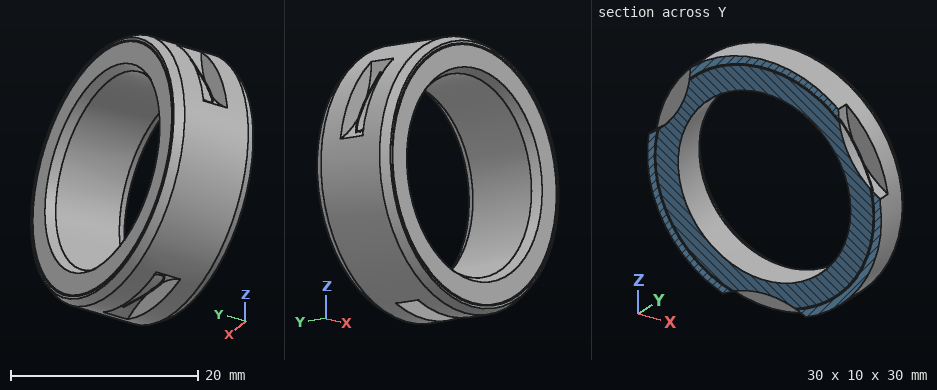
import cadquery as cq
import math

outer_radius = 15.0
bore_radius = 11.0
half_width = 5.0

bevel_width = 1.0
bevel_angle = math.radians(30)
bevel_depth = bevel_width * math.tan(bevel_angle)
bevel_start = half_width - bevel_width

flank_angle = math.radians(45)
rim_radius = 14.0
crest_radius = 13.94
crest_half_width = 0.25
trough_radius = 12.0
clearance = 0.1

slot_angles = (30, 150, 270)
slot_width = 3.0
slot_floor_radius = 11.0
slot_bottom = 12.65


def interface_points(offset):
    """(radius, y) points from front to back, moved squarely outward by the offset."""
    flank_shift = offset * math.tan(flank_angle / 2)
    crest_edge = crest_half_width + flank_shift
    crest_depth = crest_radius - trough_radius
    ridge_foot = crest_edge + crest_depth / math.tan(flank_angle)
    rim_foot = half_width - (rim_radius - trough_radius) / math.tan(flank_angle) - flank_shift
    rim_offset = offset / math.cos(flank_angle)
    front_half = [
        (rim_radius + rim_offset, -half_width),
        (trough_radius + offset, -rim_foot),
        (trough_radius + offset, -ridge_foot),
        (crest_radius + offset, -crest_edge),
    ]
    back_half = [(radius, -y) for radius, y in reversed(front_half)]
    return front_half + back_half


def revolve_ring(points):
    """Solid of revolution about the Y axis from a closed (radius, y) outline."""
    return cq.Workplane("XY").polyline(points).close().revolve(360, (0, 0, 0), (0, 1, 0))


def make_slot_cutters():
    """Cylinders along Y, placed outside the ring so that each scoops one slot."""
    center_distance = slot_bottom + slot_floor_radius
    cutter = (
        cq.Workplane("XZ", origin=(0, slot_width / 2, 0))
        .center(center_distance, 0)
        .circle(slot_floor_radius)
        .extrude(slot_width)
    )
    return [cutter.rotate((0, 0, 0), (0, 1, 0), -angle) for angle in slot_angles]


def cut_slots(body):
    """Scoop the slots out of one ring; they reach through the housing into the inner ring."""
    for cutter in make_slot_cutters():
        body = body.cut(cutter)
    return body


def make_housing():
    face_radius = outer_radius - bevel_depth
    outside = [
        (face_radius, half_width),
        (outer_radius, bevel_start),
        (outer_radius, -bevel_start),
        (face_radius, -half_width),
    ]
    return cut_slots(revolve_ring(interface_points(clearance) + outside))


def make_inner_ring():
    face_radius = bore_radius + bevel_depth
    bore = [
        (face_radius, half_width),
        (bore_radius, bevel_start),
        (bore_radius, -bevel_start),
        (face_radius, -half_width),
    ]
    return cut_slots(revolve_ring(interface_points(0) + bore))


housing = make_housing()
inner_ring = make_inner_ring()

result = cq.Compound.makeCompound([*housing.solids().vals(), *inner_ring.solids().vals()])